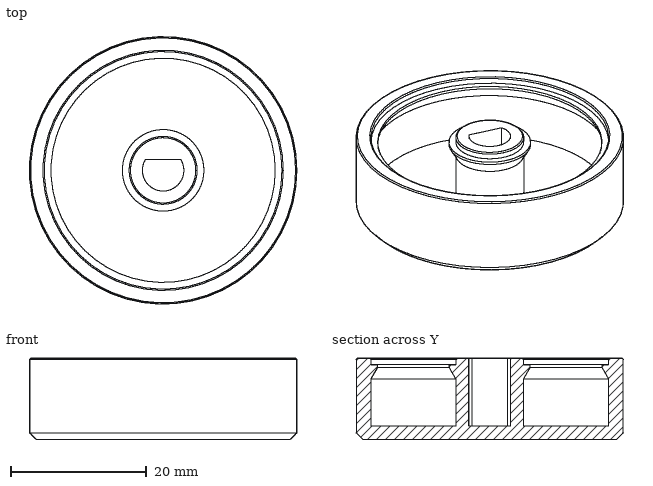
import cadquery as cq
import math

outer_diameter = 39.4
height = 12.0
floor_thickness = 2.0
bottom_chamfer = 1.0
edge_chamfer = 0.2

bore_diameter = 35.0
wall_lip_diameter = 33.0
hub_diameter = 10.0
hub_lip_diameter = 12.0
lip_depth = 1.0
lip_land = 0.4
undercut_angle = 60.0

socket_diameter = 6.1
socket_flat_offset = 1.58

lip_top = height - lip_depth
lip_bottom = lip_top - lip_land


def undercut_end(base_diameter, lip_diameter):
    """Height at which the cone below a lip meets its base cylinder."""
    lip_width = abs(lip_diameter - base_diameter) / 2
    return lip_bottom - lip_width * math.tan(math.radians(undercut_angle))


def make_body():
    """Revolve the floor, wall and hub as one half section."""
    outer_radius = outer_diameter / 2
    bore_radius = bore_diameter / 2
    wall_lip_radius = wall_lip_diameter / 2
    hub_radius = hub_diameter / 2
    hub_lip_radius = hub_lip_diameter / 2
    section = [
        (0, 0),
        (outer_radius - bottom_chamfer, 0),
        (outer_radius, bottom_chamfer),
        (outer_radius, height - edge_chamfer),
        (outer_radius - edge_chamfer, height),
        (bore_radius + edge_chamfer, height),
        (bore_radius, height - edge_chamfer),
        (bore_radius, lip_top),
        (wall_lip_radius, lip_top),
        (wall_lip_radius, lip_bottom),
        (bore_radius, undercut_end(bore_diameter, wall_lip_diameter)),
        (bore_radius, floor_thickness),
        (hub_radius, floor_thickness),
        (hub_radius, undercut_end(hub_diameter, hub_lip_diameter)),
        (hub_lip_radius, lip_bottom),
        (hub_lip_radius, lip_top),
        (hub_radius, lip_top),
        (hub_radius, height - edge_chamfer),
        (hub_radius - edge_chamfer, height),
        (0, height),
    ]
    return cq.Workplane("XZ").polyline(section).close().revolve(360, (0, 0), (0, 1))


def make_socket():
    """Round cutter with a flat on the +Y side, ending level with the cup floor."""
    depth = height - floor_thickness
    radius = socket_diameter / 2
    half_flat = math.sqrt(radius**2 - socket_flat_offset**2)
    return (
        cq.Workplane("XY", origin=(0, 0, floor_thickness))
        .moveTo(-half_flat, socket_flat_offset)
        .threePointArc((0, -radius), (half_flat, socket_flat_offset))
        .close()
        .extrude(depth)
    )


result = make_body().cut(make_socket())